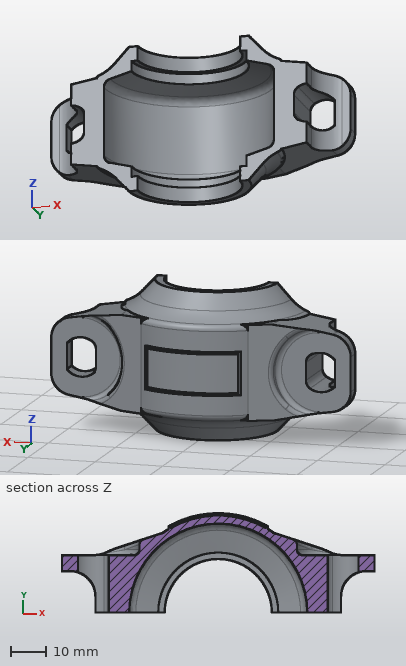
import cadquery as cq
import math


length = 89.0
height = 43.2
half_height = height / 2
shell_radius = 27.7
rim_radius = 17.8
neck_radius = 22.0
neck_z = 17.1
flare_radius = 26.25
flare_z = 14.1
shoulder_z = 12.3

bore_radius = 15.2
groove_radius = 17.1
groove_outer_z = 17.3
groove_inner_z = 14.2
cavity_radius = 25.3
cavity_wall_z = 12.0
cavity_fillet = 2.5

arm_half_width = 14.0
taper_start_x = 22.5
tip_half_width = 10.4
tip_corner_radius = 6.2
arm_shoulder_x = 15.8
arm_angle = 18.3

tip_x = length / 2
ear_top = 16.4
ear_bottom = 11.75
ear_inner_x = 35.0
ear_blend = 7.0

bolt_x = 35.5
slot_width = 8.6
slot_length = 11.5
slot_corner_radius = 2.7
seat_radius = 13.1
seat_fillet = 1.5

border_height = 0.6
border_half_width = 14.15
border_half_height = 6.3
border_thickness = 0.6


def mirrored_pair(solid):
    """The solid together with its mirror image across X = 0."""
    return solid.union(solid.mirror("YZ"))


def arc_middle(start, end, heading):
    """Middle point of the arc from start to end that leaves start at this heading (radians)."""
    dx = end[0] - start[0]
    dz = end[1] - start[1]
    sweep_half = math.atan2(dz, dx) - heading
    bulge = math.tan(sweep_half / 2) / 2
    return ((start[0] + end[0]) / 2 + bulge * dz, (start[1] + end[1]) / 2 - bulge * dx)


def make_shell():
    rim = (rim_radius, half_height)
    neck = (neck_radius, neck_z)
    flare = (flare_radius, flare_z)
    wall = (shell_radius, shoulder_z)
    cone_heading = math.atan2(neck_z - half_height, neck_radius - rim_radius)
    flare_middle = arc_middle(neck, flare, cone_heading)
    shoulder_middle = arc_middle(wall, flare, math.pi / 2)
    upper = (
        cq.Workplane("XZ")
        .moveTo(0, 0)
        .lineTo(0, half_height)
        .lineTo(*rim)
        .lineTo(*neck)
        .threePointArc(flare_middle, flare)
        .threePointArc(shoulder_middle, wall)
        .lineTo(shell_radius, 0)
        .close()
        .revolve(360, (0, 0, 0), (0, 1, 0))
    )
    return upper.union(upper.mirror("XY"))


def make_cavity():
    chamber = (
        cq.Workplane("XZ")
        .polyline([
            (0, -groove_inner_z),
            (groove_radius, -groove_inner_z),
            (cavity_radius, -cavity_wall_z),
            (cavity_radius, cavity_wall_z),
            (groove_radius, groove_inner_z),
            (0, groove_inner_z),
        ])
        .close()
        .revolve(360, (0, 0, 0), (0, 1, 0))
        .edges(cq.selectors.RadiusNthSelector(-1))
        .fillet(cavity_fillet)
    )
    groove = cq.Workplane("XY").circle(groove_radius).extrude(groove_outer_z, both=True)
    bore = cq.Workplane("XY").circle(bore_radius).extrude(half_height, both=True)
    return chamber.union(groove).union(bore)


def make_arm():
    shoulder_y = math.sqrt(shell_radius**2 - arm_shoulder_x**2)
    fall = math.tan(math.radians(arm_angle))
    slope_end_x = arm_shoulder_x + (shoulder_y - ear_top) / fall
    blend_diagonal = ear_blend * math.sqrt(0.5)
    blend_x = ear_inner_x + ear_blend
    blend_y = ear_bottom - ear_blend
    side = (
        cq.Workplane("XY")
        .moveTo(0, 0)
        .lineTo(ear_inner_x, 0)
        .lineTo(ear_inner_x, blend_y)
        .threePointArc((blend_x - blend_diagonal, blend_y + blend_diagonal), (blend_x, ear_bottom))
        .lineTo(tip_x, ear_bottom)
        .lineTo(tip_x, ear_top)
        .lineTo(slope_end_x, ear_top)
        .lineTo(arm_shoulder_x, shoulder_y)
        .lineTo(0, shoulder_y)
        .close()
        .extrude(arm_half_width, both=True)
    )
    plan = (
        cq.Workplane("XZ")
        .polyline([
            (0, -arm_half_width),
            (taper_start_x, -arm_half_width),
            (tip_x, -tip_half_width),
            (tip_x, tip_half_width),
            (taper_start_x, arm_half_width),
            (0, arm_half_width),
        ])
        .close()
        .extrude(-shell_radius)
        .edges("|Y and >X")
        .fillet(tip_corner_radius)
    )
    return side.intersect(plan)


def make_bolt_seat():
    return (
        cq.Workplane("XZ", origin=(bolt_x, ear_top, 0))
        .circle(seat_radius)
        .extrude(-shell_radius)
        .faces("<Y")
        .edges()
        .fillet(seat_fillet)
    )


def make_bolt_slot():
    hole = cq.Workplane("XZ").circle(slot_length / 2).extrude(-shell_radius)
    flats = cq.Workplane("XZ").rect(slot_width, slot_length).extrude(-shell_radius)
    slot = hole.intersect(flats).edges("|Y and <X").fillet(slot_corner_radius)
    return slot.translate((bolt_x, 0, 0))


def make_border():
    outer_radius = shell_radius + border_height
    frame = (
        cq.Workplane("XZ")
        .rect(2 * border_half_width, 2 * border_half_height)
        .rect(2 * (border_half_width - border_thickness), 2 * (border_half_height - border_thickness))
        .extrude(-outer_radius)
    )
    ring = (
        cq.Workplane("XY")
        .circle(outer_radius)
        .circle(shell_radius - border_thickness)
        .extrude(border_half_height, both=True)
    )
    return frame.intersect(ring)


seated_arm = make_arm().cut(make_bolt_seat()).edges("%ELLIPSE").edges(">Y").fillet(seat_fillet)
arm = seated_arm.cut(make_bolt_slot())
back_half = cq.Workplane("XY").box(length, length, length, centered=(True, False, True))

result = (
    make_shell()
    .union(mirrored_pair(arm))
    .cut(make_cavity())
    .union(make_border())
    .intersect(back_half)
)